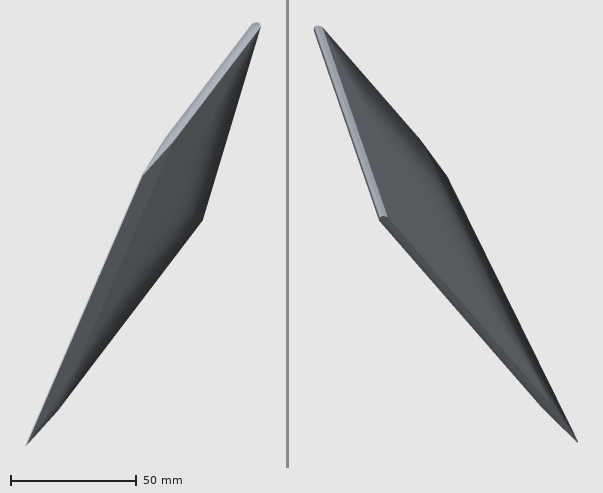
import cadquery as cq
import math

thickness = 4.0
height = 63.5
top_length = 101.6
front_sweep = 101.6
rear_sweep = 50.8
overall_length = top_length + front_sweep

bevel_width = 12.7
front_edge_thickness = 0.5

chamfer_depth = 1.24
chamfer_width = 1.27


def run_along_y(width, sweep):
    """Length along Y of a band of the given width, measured square to an edge of the given sweep."""
    return width * math.hypot(sweep, height) / height


def cross_section(workplane, front, rear):
    """Horizontal cross-section of the blade between its front and rear edges."""
    half = thickness / 2
    half_front = front_edge_thickness / 2
    half_rear = half - chamfer_depth
    bevel_end = front + run_along_y(bevel_width, front_sweep)
    chamfer_start = rear - run_along_y(chamfer_width, rear_sweep)
    side = [(half_front, front), (half, bevel_end), (half, chamfer_start), (half_rear, rear)]
    opposite_side = [(-x, y) for x, y in reversed(side)]
    return workplane.polyline(side + opposite_side).close()


def make_blade():
    """Join the bottom and top cross-sections, which differ only in where the two edges sit."""
    bottom = cross_section(cq.Workplane("XY"), 0, overall_length - rear_sweep)
    top = cross_section(bottom.workplane(offset=height), front_sweep, overall_length)
    return top.loft(ruled=True, combine=True)


result = make_blade()